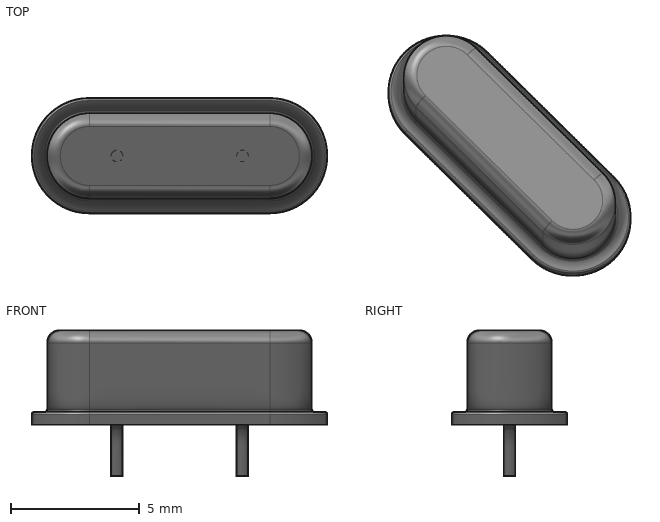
import cadquery as cq

flange_length = 11.5
flange_width = 4.5
flange_thickness = 0.5
flange_edge_radius = 0.1

flange_overhang = 0.6
can_length = flange_length - 2 * flange_overhang
can_width = flange_width - 2 * flange_overhang
can_top = 3.68
can_top_radius = 0.5
can_foot_radius = 0.1

pin_diameter = 0.45
pin_length = 2.0
pin_spacing = 4.88


def rounded_bar(length, width, bottom, top):
    """Upright bar with full-round ends, its long side along X."""
    return cq.Workplane("XY").workplane(offset=bottom).slot2D(length, width).extrude(top - bottom)


def make_housing():
    """Can and flange in one piece, with rounded edges and a foot fillet."""
    flange = rounded_bar(flange_length, flange_width, 0, flange_thickness)
    flange = flange.faces(">Z").edges().fillet(flange_edge_radius)

    can = rounded_bar(can_length, can_width, flange_thickness, can_top)
    can = can.faces(">Z").edges().fillet(can_top_radius)

    body = flange.union(can)
    flange_upper_face = body.faces("|Z").faces("<Z[1]")
    foot_edges = flange_upper_face.val().innerWires()[0].Edges()
    return cq.Workplane(body.val().fillet(can_foot_radius, foot_edges))


def make_pin(x):
    """Straight round pin that hangs from the underside of the flange."""
    return cq.Workplane("XY").center(x, 0).circle(pin_diameter / 2).extrude(-pin_length)


housing = make_housing()
pins = [make_pin(side * pin_spacing / 2) for side in (-1, 1)]

result = cq.Compound.makeCompound([housing.val(), *[pin.val() for pin in pins]])